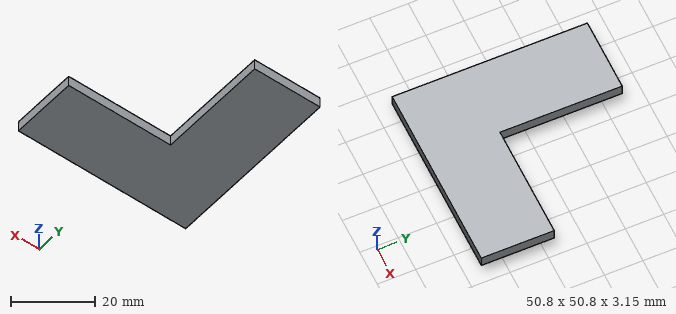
import cadquery as cq

arm_length = 50.8
y_arm_width = 19.85
x_arm_width = 19.0
thickness = 3.15

outline = [
    (0, 0),
    (arm_length, 0),
    (arm_length, x_arm_width),
    (y_arm_width, x_arm_width),
    (y_arm_width, arm_length),
    (0, arm_length),
]

result = cq.Workplane("XY").polyline(outline).close().extrude(thickness)